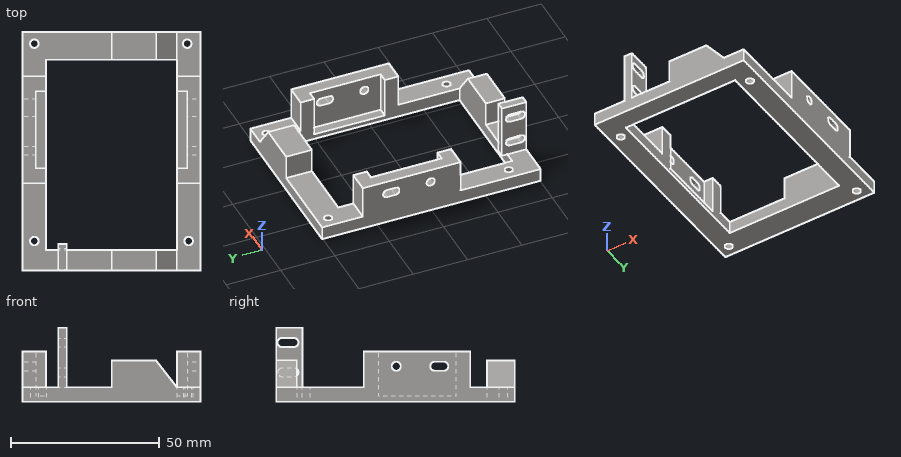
import cadquery as cq

FRAME_LENGTH_X = 60.0
FRAME_LENGTH_Y = 80.5
FRAME_THICKNESS = 5.0
SIDE_RAIL_WIDTH = 8.0
FRONT_RAIL_WIDTH = 7.0
BACK_RAIL_WIDTH = 9.5
RIGHT_RAIL_X = FRAME_LENGTH_X - SIDE_RAIL_WIDTH
OPENING_X = FRAME_LENGTH_X - 2 * SIDE_RAIL_WIDTH
OPENING_Y = FRAME_LENGTH_Y - FRONT_RAIL_WIDTH - BACK_RAIL_WIDTH
CUT_MARGIN = 1.0

MOUNT_HOLE_DIAMETER = 2.8
MOUNT_HOLE_CENTERS = [(4.0, 10.0), (56.0, 10.0), (4.0, 76.5), (55.5, 76.5)]

WALL_START_Y = 29.5
WALL_LENGTH = 36.0
WALL_TOP_Z = 17.0
RECESS_END_WALL = 5.0
RECESS_DEPTH = 3.5
RECESS_LENGTH = WALL_LENGTH - 2 * RECESS_END_WALL
RECESS_FLOOR_Z = 2.0
WALL_HOLE_DIAMETER = 3.0
WALL_HOLE_Z = 12.0
WALL_HOLE_Y = 40.5
WALL_SLOT_Y = 55.0
WALL_SLOT_LENGTH = 6.0

RAMP_START_X = FRAME_LENGTH_X / 2
RAMP_FLAT_LENGTH = 15.0
RAMP_TOP_Z = 14.0

POST_START_X = 12.0
POST_THICKNESS = 3.0
POST_WIDTH = 9.0
POST_TOP_Z = 25.0
POST_SLOT_Y = 4.0
POST_SLOT_HEIGHTS = [10.0, 20.0]
POST_SLOT_LENGTH = 7.0
POST_SLOT_WIDTH = 3.0


def box_at(corner, size):
    """Box placed by its lowest corner."""
    return cq.Workplane("XY").box(*size, centered=False).translate(corner)


def make_frame():
    plate = box_at((0, 0, 0), (FRAME_LENGTH_X, FRAME_LENGTH_Y, FRAME_THICKNESS))
    opening = box_at(
        (SIDE_RAIL_WIDTH, FRONT_RAIL_WIDTH, -CUT_MARGIN),
        (OPENING_X, OPENING_Y, FRAME_THICKNESS + 2 * CUT_MARGIN),
    )
    return plate.cut(opening)


def make_mount_holes():
    return (
        cq.Workplane("XY")
        .pushPoints(MOUNT_HOLE_CENTERS)
        .circle(MOUNT_HOLE_DIAMETER / 2)
        .extrude(FRAME_THICKNESS)
    )


def make_side_wall(start_x):
    return box_at(
        (start_x, WALL_START_Y, FRAME_THICKNESS),
        (SIDE_RAIL_WIDTH, WALL_LENGTH, WALL_TOP_Z - FRAME_THICKNESS),
    )


def make_recesses():
    """One cutter spanning the opening that recesses both side walls."""
    return box_at(
        (SIDE_RAIL_WIDTH - RECESS_DEPTH, WALL_START_Y + RECESS_END_WALL, RECESS_FLOOR_Z),
        (OPENING_X + 2 * RECESS_DEPTH, RECESS_LENGTH, WALL_TOP_Z),
    )


def make_wall_holes():
    """Round hole and slot running along X through both side walls."""
    holes = (
        cq.Workplane("YZ")
        .center(WALL_HOLE_Y, WALL_HOLE_Z)
        .circle(WALL_HOLE_DIAMETER / 2)
        .extrude(FRAME_LENGTH_X)
    )
    slots = (
        cq.Workplane("YZ")
        .center(WALL_SLOT_Y, WALL_HOLE_Z)
        .slot2D(WALL_SLOT_LENGTH, WALL_HOLE_DIAMETER)
        .extrude(FRAME_LENGTH_X)
    )
    return holes.union(slots)


def make_ramp_block(start_y, width):
    profile = [
        (RAMP_START_X, 0),
        (RAMP_START_X, RAMP_TOP_Z),
        (RAMP_START_X + RAMP_FLAT_LENGTH, RAMP_TOP_Z),
        (RIGHT_RAIL_X, FRAME_THICKNESS),
        (RIGHT_RAIL_X, 0),
    ]
    block = cq.Workplane("XZ").polyline(profile).close().extrude(-width)
    return block.translate((0, start_y, 0))


def make_post():
    post = box_at(
        (POST_START_X, 0, FRAME_THICKNESS),
        (POST_THICKNESS, POST_WIDTH, POST_TOP_Z - FRAME_THICKNESS),
    )
    slots = (
        cq.Workplane("YZ", origin=(POST_START_X, 0, 0))
        .pushPoints([(POST_SLOT_Y, height) for height in POST_SLOT_HEIGHTS])
        .slot2D(POST_SLOT_LENGTH, POST_SLOT_WIDTH)
        .extrude(POST_THICKNESS)
    )
    return post.cut(slots)


result = make_frame()
for wall_start_x in (0, RIGHT_RAIL_X):
    result = result.union(make_side_wall(wall_start_x))
result = result.cut(make_recesses()).cut(make_wall_holes()).cut(make_mount_holes())
result = result.union(make_ramp_block(0, FRONT_RAIL_WIDTH))
result = result.union(make_ramp_block(FRAME_LENGTH_Y - BACK_RAIL_WIDTH, BACK_RAIL_WIDTH))
result = result.union(make_post())